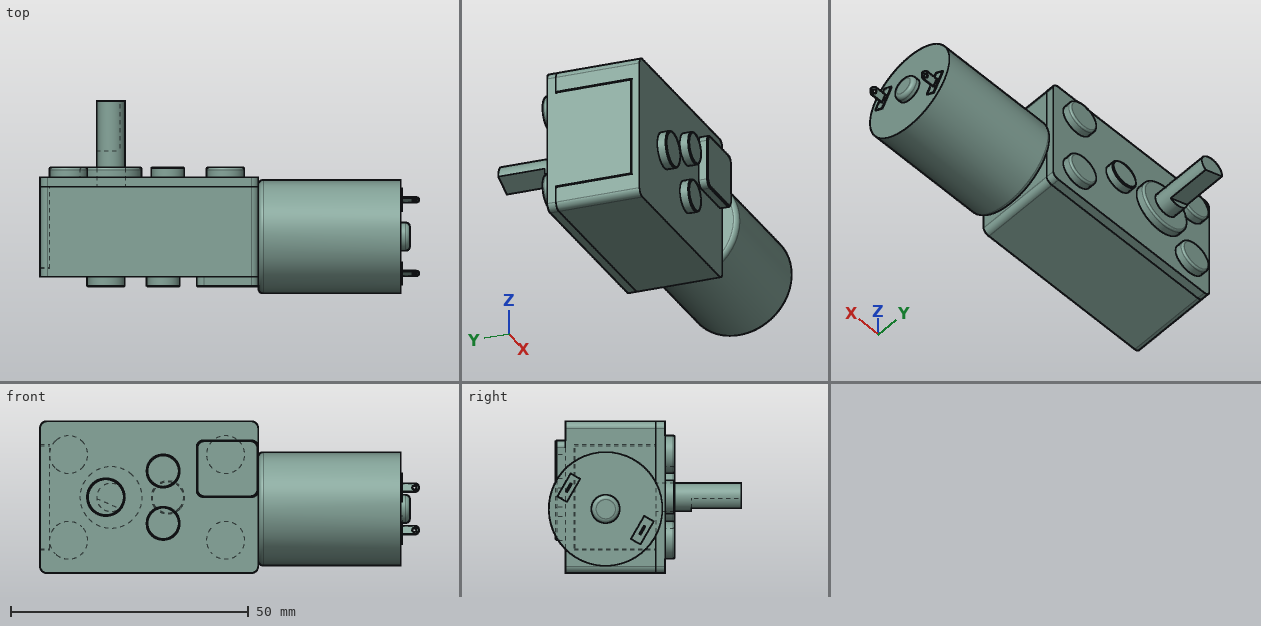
import cadquery as cq


BOX_LENGTH = 46.0
BOX_DEPTH = 21.0
BOX_HEIGHT = 32.0
CORNER_RADIUS = 1.5
BOX_LEFT = -14.9
BOX_RIGHT = BOX_LEFT + BOX_LENGTH
LID_THICKNESS = 2.0
LID_JOINT_Y = BOX_DEPTH - LID_THICKNESS

FLAP_HEIGHT = 21.7
FLAP_DROP = 17.0
FLAP_THICKNESS = 2.0
FLAP_GAP = 0.2

BOSS_PROJECTION = 2.1
LARGE_BOSS_DIAMETER = 8.0
SMALL_BOSS_DIAMETER = 7.0
EDGE_CHAMFER = 0.2
FRONT_LARGE_BOSS_X = -1.0
FRONT_SMALL_BOSS_X = 11.0
FRONT_SMALL_BOSS_Z = 5.5
SHAFT_BOSS_DIAMETER = 13.0
MOUNT_SPACING_X = 33.0
MOUNT_SPACING_Z = 18.0
MOUNT_LEFT_X = -8.9
BACK_SMALL_BOSS_X = 12.0
BACK_EDGE_FILLET = 0.5

PAD_LENGTH = 13.0
PAD_HEIGHT = 12.0

SHAFT_DIAMETER = 6.0
SHAFT_PROJECTION = 16.0
FLAT_LENGTH = 10.5
FLAT_DISTANCE = 1.4
FLAT_ANGLE = 23.4

MOTOR_DIAMETER = 23.95
MOTOR_LENGTH = 30.0
MOTOR_Y = 8.45
MOTOR_Z = -2.5
MOTOR_FRONT_FILLET = 1.0
MOTOR_END = BOX_RIGHT + MOTOR_LENGTH
HUB_DIAMETER = 6.0
HUB_LENGTH = 1.9
HUB_FILLET = 0.95

TERMINAL_RADIUS = 8.9
TERMINAL_TILT = 30.0
TERMINAL_LENGTH = 3.8
TERMINAL_WIDTH = 2.0
TERMINAL_THICKNESS = 0.3
TERMINAL_HOLE_DIAMETER = 0.95
INSULATOR_THICKNESS = 0.2
INSULATOR_WIDTH = 5.6
INSULATOR_DEPTH = 2.3


def y_cylinder(diameter, y_start, y_end, x=0, z=0):
    """Cylinder parallel to Y, between two Y positions."""
    plane = cq.Plane(origin=(x, y_start, z), xDir=(0, 0, 1), normal=(0, 1, 0))
    return cq.Workplane(plane).circle(diameter / 2).extrude(y_end - y_start)


def box_slab(y_start, y_end):
    """Slice of the round-cornered gear box between two Y positions."""
    return (
        cq.Workplane("XZ", origin=(BOX_LEFT + BOX_LENGTH / 2, y_start, 0))
        .rect(BOX_LENGTH, BOX_HEIGHT)
        .extrude(y_start - y_end)
        .edges("|Y")
        .fillet(CORNER_RADIUS)
    )


def flap_block(gap):
    """Flap of the lid, grown by a gap at its sides and its free end."""
    drop = FLAP_DROP + gap
    height = FLAP_HEIGHT + 2 * gap
    return (
        cq.Workplane("XY", origin=(BOX_LEFT, LID_JOINT_Y - drop, 0))
        .box(FLAP_THICKNESS, drop, height, centered=(False, False, True))
    )


def front_boss(diameter, x, z):
    """Round boss on the front face, with a chamfered rim."""
    boss = y_cylinder(diameter, 0, -BOSS_PROJECTION, x, z)
    return boss.faces("<Y").chamfer(EDGE_CHAMFER)


def front_pad():
    """Square pad with rounded corners and a chamfered rim."""
    return (
        cq.Workplane("XZ", origin=(BOX_RIGHT - PAD_LENGTH / 2, 0, PAD_HEIGHT / 2))
        .rect(PAD_LENGTH, PAD_HEIGHT)
        .extrude(BOSS_PROJECTION)
        .edges("|Y")
        .fillet(CORNER_RADIUS)
        .faces("<Y")
        .chamfer(EDGE_CHAMFER)
    )


def make_housing():
    """Gear housing with its front bosses and the recess for the lid flap."""
    housing = box_slab(0, LID_JOINT_Y).cut(flap_block(FLAP_GAP))
    housing = housing.union(front_boss(LARGE_BOSS_DIAMETER, FRONT_LARGE_BOSS_X, 0))
    for z in (-FRONT_SMALL_BOSS_Z, FRONT_SMALL_BOSS_Z):
        housing = housing.union(front_boss(SMALL_BOSS_DIAMETER, FRONT_SMALL_BOSS_X, z))
    return housing.union(front_pad())


def back_boss(diameter, x, z):
    """Round boss on the back face of the lid."""
    return y_cylinder(diameter, BOX_DEPTH, BOX_DEPTH + BOSS_PROJECTION, x, z)


def make_lid():
    """Lid with its flap, mounting bosses, gear boss and drilled shaft boss."""
    lid = box_slab(LID_JOINT_Y, BOX_DEPTH).union(flap_block(0))
    for x in (MOUNT_LEFT_X, MOUNT_LEFT_X + MOUNT_SPACING_X):
        for z in (-MOUNT_SPACING_Z / 2, MOUNT_SPACING_Z / 2):
            mount = back_boss(LARGE_BOSS_DIAMETER, x, z)
            lid = lid.union(mount.faces(">Y").edges().fillet(BACK_EDGE_FILLET))
    shaft_boss = back_boss(SHAFT_BOSS_DIAMETER, 0, 0)
    lid = lid.union(shaft_boss.faces(">Y").edges().fillet(BACK_EDGE_FILLET))
    small_boss = back_boss(SMALL_BOSS_DIAMETER, BACK_SMALL_BOSS_X, 0)
    lid = lid.union(small_boss.faces(">Y").chamfer(EDGE_CHAMFER))
    return lid.cut(y_cylinder(SHAFT_DIAMETER, LID_JOINT_Y, BOX_DEPTH + SHAFT_PROJECTION))


def make_shaft():
    """Round shaft through the lid, with a tilted flat at its free end."""
    shaft_end = BOX_DEPTH + SHAFT_PROJECTION
    shaft = y_cylinder(SHAFT_DIAMETER, LID_JOINT_Y, shaft_end)
    flat_cut = (
        cq.Workplane("XY")
        .box(2 * SHAFT_DIAMETER, FLAT_LENGTH, SHAFT_DIAMETER, centered=(True, False, False))
        .translate((0, shaft_end - FLAT_LENGTH, -FLAT_DISTANCE - SHAFT_DIAMETER))
        .rotate((0, 0, 0), (0, 1, 0), FLAT_ANGLE)
    )
    return shaft.cut(flat_cut)


def motor_cylinder(diameter, x_start, length):
    """Cylinder on the motor axis, running toward +X."""
    plane = cq.Plane(origin=(x_start, MOTOR_Y, MOTOR_Z), xDir=(0, 0, 1), normal=(1, 0, 0))
    return cq.Workplane(plane).circle(diameter / 2).extrude(length)


def make_motor():
    """Motor can with a rounded front edge and a bearing hub on its end."""
    can = motor_cylinder(MOTOR_DIAMETER, BOX_RIGHT, MOTOR_LENGTH)
    can = can.faces("<X").edges().fillet(MOTOR_FRONT_FILLET)
    hub = motor_cylinder(HUB_DIAMETER, MOTOR_END, HUB_LENGTH)
    hub = hub.faces(">X").edges().fillet(HUB_FILLET)
    return can.union(hub)


def place_on_motor_end(body, turn):
    """Offset a body along -Y from the motor axis, turn it about that axis and set it on the motor end."""
    body = body.translate((0, -TERMINAL_RADIUS, 0)).rotate((0, 0, 0), (1, 0, 0), turn)
    return body.translate((MOTOR_END, MOTOR_Y, MOTOR_Z))


def make_terminal(turn):
    """Solder tag with a rounded, drilled end."""
    end_radius = TERMINAL_WIDTH / 2
    end_x = TERMINAL_LENGTH - end_radius
    tag = (
        cq.Workplane("XZ", origin=(0, TERMINAL_THICKNESS / 2, 0))
        .moveTo(0, -end_radius)
        .lineTo(end_x, -end_radius)
        .threePointArc((TERMINAL_LENGTH, 0), (end_x, end_radius))
        .lineTo(0, end_radius)
        .close()
        .moveTo(end_x, 0)
        .circle(TERMINAL_HOLE_DIAMETER / 2)
        .extrude(TERMINAL_THICKNESS)
    )
    return place_on_motor_end(tag, turn)


def make_insulator(turn):
    """Thin plate on the motor end, slotted for its terminal."""
    plate = cq.Workplane("YZ").rect(INSULATOR_DEPTH, INSULATOR_WIDTH).extrude(INSULATOR_THICKNESS)
    slot = cq.Workplane("YZ").rect(TERMINAL_THICKNESS, TERMINAL_WIDTH).extrude(INSULATOR_THICKNESS)
    return place_on_motor_end(plate.cut(slot), turn)


housing = make_housing()
lid = make_lid()
shaft = make_shaft()
motor = make_motor()

terminals = []
insulators = []
for turn in (-TERMINAL_TILT, 180 - TERMINAL_TILT):
    terminals.append(make_terminal(turn).val())
    insulators.append(make_insulator(turn).val())

result = cq.Compound.makeCompound(
    [housing.val(), lid.val(), shaft.val(), motor.val(), *terminals, *insulators]
)